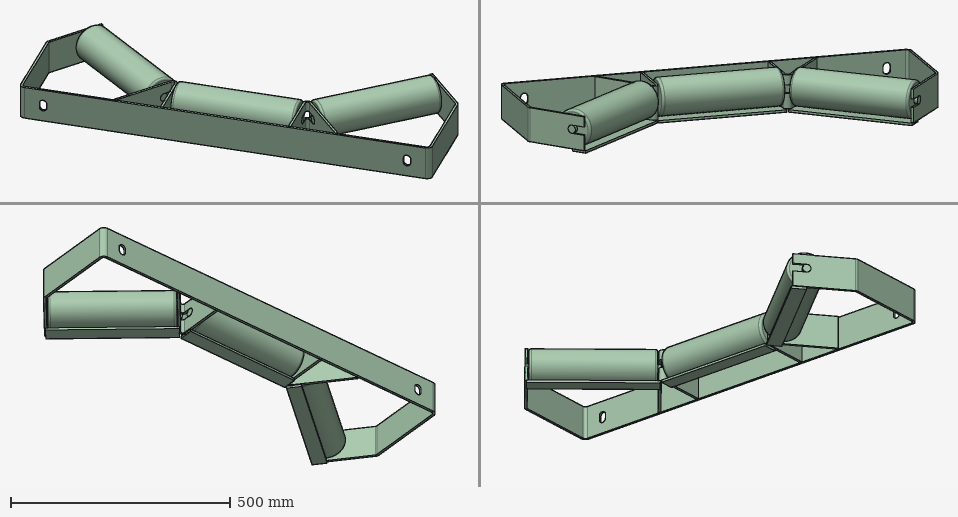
import cadquery as cq
import math

overall_length = 980.0
sheet = 6.0
bend_radius = 11.0
corner_radius = 13.0
sheet_bottom = 6.0
sheet_height = 80.0

roller_diameter = 89.0
roller_length = 294.0
roller_edge_radius = 6.0
shaft_diameter = 20.0
axis_height = 97.0 - roller_diameter / 2

clear_span = 299.0
tilt = 40.0
middle_y = 100.0
side_x = 296.0
side_y = 206.0

arm_tip = 32.0
mount_slot_width = 18.0
mount_slot_height = 27.0
mount_slot_x = 433.0

strip_width = 35.0

half_length = overall_length / 2
support_outer = clear_span / 2 + sheet
sin_tilt = math.sin(math.radians(tilt))
cos_tilt = math.cos(math.radians(tilt))
slot_reach = 78.0

left_station = (-side_x, side_y, -tilt)
middle_station = (0, middle_y, 0)
right_station = (side_x, side_y, tilt)
stations = [left_station, middle_station, right_station]


def place(body, station):
    """Move a body built around the origin, axis along X, to a roller station."""
    x, y, angle = station
    return body.rotate((0, 0, 0), (0, 0, 1), angle).translate((x, y, 0))


def left_station_point(along, across):
    """Plan position of a point given along and across the left roller axis."""
    x = -side_x + along * cos_tilt + across * sin_tilt
    y = side_y - along * sin_tilt + across * cos_tilt
    return (x, y)


def inside_offset(path):
    """Offset an open path to its left by the sheet thickness, with mitred corners."""
    headings = [math.atan2(b[1] - a[1], b[0] - a[0]) for a, b in zip(path, path[1:])]
    before = [headings[0]] + headings
    after = headings + [headings[-1]]
    inside = []
    for (x, y), h_in, h_out in zip(path, before, after):
        normal = (h_in + h_out) / 2 + math.pi / 2
        reach = sheet / math.cos((h_out - h_in) / 2)
        inside.append((x + reach * math.cos(normal), y + reach * math.sin(normal)))
    return inside


def bent_sheet(path, outside_radii):
    """Upright sheet whose outside follows a path that only turns left."""
    inside = inside_offset(path)
    body = (
        cq.Workplane("XY", origin=(0, 0, sheet_bottom))
        .polyline(path + inside[::-1])
        .close()
        .extrude(sheet_height)
    )
    mid_height = sheet_bottom + sheet_height / 2
    for outer, inner, radius in zip(path[1:-1], inside[1:-1], outside_radii):
        outer_edge = cq.selectors.NearestToPointSelector((*outer, mid_height))
        body = body.edges("|Z").edges(outer_edge).fillet(radius)
        inner_edge = cq.selectors.NearestToPointSelector((*inner, mid_height))
        body = body.edges("|Z").edges(inner_edge).fillet(radius - sheet)
    return body


def shaft_slots(depth):
    """Cutters for the shaft slots at both ends of a station, open toward +Y."""
    slots = cq.Workplane("XY")
    for side in (-1, 1):
        centre_x = side * (clear_span + depth) / 2
        seat = (
            cq.Workplane("YZ", origin=(side * clear_span / 2, 0, axis_height))
            .circle(shaft_diameter / 2)
            .extrude(side * sheet)
        )
        channel = (
            cq.Workplane("XY", origin=(centre_x, slot_reach / 2, axis_height))
            .box(depth, slot_reach, shaft_diameter)
        )
        slots = slots.add(seat).add(channel)
    return slots.combine()


def make_frame():
    """Back bar with upright sides and inward arms that carry the outer shaft ends."""
    tip = left_station_point(-support_outer, arm_tip)
    bend_y = tip[1] - (tip[0] + half_length) * cos_tilt / sin_tilt
    left_path = [tip, (-half_length, bend_y), (-half_length, 0)]
    right_path = [(-x, y) for x, y in reversed(left_path)]
    frame = bent_sheet(
        left_path + right_path, [bend_radius, corner_radius, corner_radius, bend_radius]
    )
    mount_slots = (
        cq.Workplane("XZ", origin=(0, 0, sheet_bottom + sheet_height / 2))
        .pushPoints([(-mount_slot_x, 0), (mount_slot_x, 0)])
        .slot2D(mount_slot_height, mount_slot_width, 90)
        .extrude(-sheet)
    )
    frame = frame.cut(mount_slots)
    for station in (left_station, right_station):
        frame = frame.cut(place(shaft_slots(sheet), station))
    return frame


def make_left_bracket():
    """Folded support between the left and middle rollers, standing on the back bar."""
    face_x = -clear_span / 2
    foot_y = sheet * (1 + sin_tilt)
    face_point = left_station_point(clear_span / 2, 0)
    leg_slope = cos_tilt / sin_tilt
    foot_x = face_point[0] + (foot_y - face_point[1]) / leg_slope
    ridge_y = face_point[1] + (face_x - face_point[0]) * leg_slope
    bracket = bent_sheet([(face_x, sheet), (face_x, ridge_y), (foot_x, foot_y)], [bend_radius])
    for station in (left_station, middle_station):
        bracket = bracket.cut(place(shaft_slots(bend_radius), station))
    return bracket


def make_roller():
    """Roller drum with its two shaft ends, flush with the outside of the supports."""
    drum = (
        cq.Workplane("YZ", origin=(-roller_length / 2, 0, axis_height))
        .circle(roller_diameter / 2)
        .extrude(roller_length)
        .edges("%CIRCLE")
        .fillet(roller_edge_radius)
    )
    shaft = (
        cq.Workplane("YZ", origin=(-support_outer, 0, axis_height))
        .circle(shaft_diameter / 2)
        .extrude(2 * support_outer)
    )
    return drum.union(shaft)


def make_base_strip():
    """Flat strip that the supports stand on, from the roller axis toward +Y."""
    return cq.Workplane("XY").box(
        clear_span + sheet, strip_width, sheet_bottom, centered=(True, False, False)
    )


frame = make_frame()
left_bracket = make_left_bracket()
right_bracket = left_bracket.mirror("YZ")
rollers = [place(make_roller(), station) for station in stations]
base_strips = [place(make_base_strip(), station) for station in stations]

result = cq.Compound.makeCompound([
    frame.val(),
    left_bracket.val(),
    right_bracket.val(),
    *[roller.val() for roller in rollers],
    *[strip.val() for strip in base_strips],
])